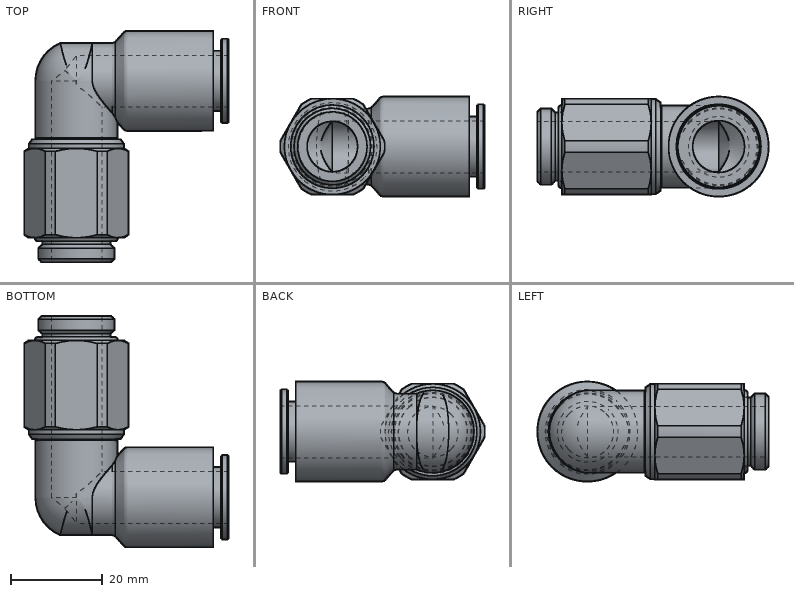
import cadquery as cq
import math

overall_x = 44.95
overall_y = 50.75
overall_z = 22.0
overlap = 0.5

inlet_radius = 9.05
neck_radius = 8.35
bore_radius = 5.55
tube_bore_radius = 5.7
bore_tip_length = 4.4
inlet_end = -12.5
roof_clearance = 0.025

socket_radius = overall_z / 2
neck_end = 7.8
cone_start = 8.5
cone_start_radius = 8.55
cone_end = 10.7
cone_edge_fillet = 1.0
socket_end = 30.05
collar_stem_radius = 6.65
collar_radius = 9.3
collar_start = 31.7
collar_chamfer = 0.35

hex_flats = 21.0
hex_corner_radius = 11.45
swivel_radius = 8.65
nut_top = -12.75
nut_rim_radius = 9.7
nut_shoulder = -13.8
nut_shoulder_radius = 10.45
hex_top = -14.75
hex_bottom = -34.35
hex_chamfer_height = 0.65
seal_radius = 9.15
spigot_root = hex_bottom + overlap
groove_radius = 7.5
groove_end = -35.85
spigot_radius = 8.4
spigot_start = -36.65
spigot_chamfer = 0.75

tube_end = overall_x - hex_corner_radius
spigot_end = socket_radius - overall_y


def cylinder_x(radius, start, end, center_y=0.0):
    """Cylinder parallel to X."""
    return cq.Workplane("YZ", origin=(start, center_y, 0)).circle(radius).extrude(end - start)


def cylinder_y(radius, start, end):
    """Cylinder around Y, running from start down to end."""
    return cq.Workplane("XZ", origin=(0, start, 0)).circle(radius).extrude(start - end)


def crown(radius, height):
    """Half ball above the inlet axis end, lowered to the given height by a cylinder parallel to X."""
    half_ball = (
        cq.Workplane("XY")
        .moveTo(0, 0)
        .lineTo(radius, 0)
        .threePointArc((radius * math.sqrt(0.5), radius * math.sqrt(0.5)), (0, radius))
        .close()
        .revolve(360, (0, 0, 0), (0, 1, 0))
    )
    roof_half_width = radius + roof_clearance
    roof_radius = (roof_half_width**2 + height**2) / (2 * height)
    roof = cylinder_x(roof_radius, -radius - overlap, radius + overlap, height - roof_radius)
    return half_ball.intersect(roof)


def make_elbow():
    inlet = cylinder_y(inlet_radius, 0, inlet_end)
    neck = cylinder_x(neck_radius, 0, neck_end)
    return inlet.union(crown(inlet_radius, neck_radius)).union(neck)


def make_socket():
    body = (
        cq.Workplane("XY")
        .moveTo(neck_end, 0)
        .lineTo(neck_end, neck_radius)
        .lineTo(cone_start, cone_start_radius)
        .lineTo(cone_end, socket_radius)
        .lineTo(socket_end, socket_radius)
        .lineTo(socket_end, 0)
        .close()
        .revolve(360, (0, 0, 0), (1, 0, 0))
    )
    half_box = socket_radius + overlap
    cone_edge = cq.selectors.BoxSelector(
        (cone_end - overlap, -half_box, -half_box),
        (cone_end + overlap, half_box, half_box),
    )
    body = body.edges(cone_edge).fillet(cone_edge_fillet)
    stem = cylinder_x(collar_stem_radius, socket_end, collar_start)
    collar = cylinder_x(collar_radius, collar_start, tube_end).edges().chamfer(collar_chamfer)
    return body.union(stem).union(collar)


def make_nut():
    flat_radius = hex_flats / 2
    hexagon = (
        cq.Workplane("XZ", origin=(0, nut_top, 0))
        .polygon(6, hex_flats / math.cos(math.pi / 6))
        .extrude(nut_top - hex_bottom)
    )
    envelope = (
        cq.Workplane("XY")
        .moveTo(0, nut_top)
        .lineTo(nut_rim_radius, nut_top)
        .lineTo(nut_shoulder_radius, nut_shoulder)
        .lineTo(nut_shoulder_radius, hex_top)
        .lineTo(hex_corner_radius, hex_top - hex_chamfer_height)
        .lineTo(hex_corner_radius, hex_bottom + hex_chamfer_height)
        .lineTo(flat_radius, hex_bottom)
        .lineTo(0, hex_bottom)
        .close()
        .revolve(360, (0, 0, 0), (0, 1, 0))
    )
    return hexagon.intersect(envelope)


def make_spigot():
    """Spigot with a half-round sealing ring against the nut face."""
    seal_section_radius = (seal_radius - groove_radius) / 2
    return (
        cq.Workplane("XY")
        .moveTo(0, spigot_root)
        .lineTo(seal_radius, spigot_root)
        .lineTo(seal_radius, hex_bottom)
        .threePointArc(
            (seal_radius - seal_section_radius, hex_bottom - seal_section_radius),
            (groove_radius, hex_bottom),
        )
        .lineTo(groove_radius, groove_end)
        .lineTo(spigot_radius, spigot_start)
        .lineTo(spigot_radius, spigot_end + spigot_chamfer)
        .lineTo(spigot_radius - spigot_chamfer, spigot_end)
        .lineTo(0, spigot_end)
        .close()
        .revolve(360, (0, 0, 0), (0, 1, 0))
    )


def make_inlet_bore():
    """Bore around Y from the spigot end, with a conical tip above the tube axis."""
    return (
        cq.Workplane("XY")
        .moveTo(0, spigot_end)
        .lineTo(bore_radius, spigot_end)
        .lineTo(bore_radius, 0)
        .lineTo(0, bore_tip_length)
        .close()
        .revolve(360, (0, 0, 0), (0, 1, 0))
    )


def make_tube_bore():
    """Bore around X from the collar end, with a conical tip beyond the inlet axis."""
    return (
        cq.Workplane("XY")
        .moveTo(tube_end, 0)
        .lineTo(tube_end, tube_bore_radius)
        .lineTo(0, tube_bore_radius)
        .lineTo(-bore_tip_length, 0)
        .close()
        .revolve(360, (0, 0, 0), (1, 0, 0))
    )


swivel = cylinder_y(swivel_radius, inlet_end, nut_top)
body = make_elbow().union(make_socket()).union(swivel).union(make_nut()).union(make_spigot())
result = body.cut(make_inlet_bore()).cut(make_tube_bore())